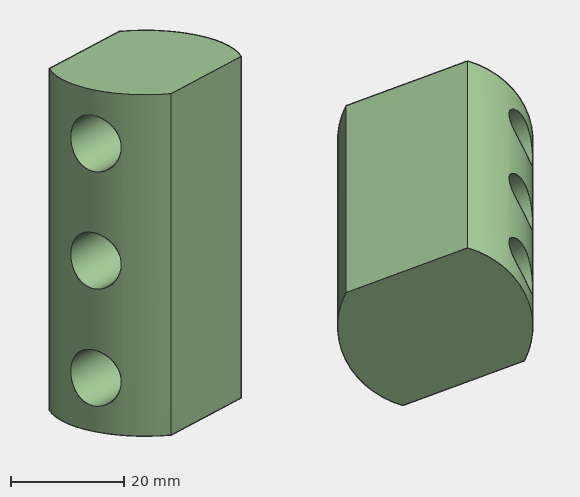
import cadquery as cq

height = 64.0
body_diameter = 34.55
width_across_flats = 25.4

hole_diameter = 10.5
hole_spacing = 21.95
hole_count = 3


def flatted_cylinder():
    """Upright cylinder cut by two flats parallel to the YZ plane."""
    cylinder = cq.Workplane("XY").circle(body_diameter / 2).extrude(height)
    slab = cq.Workplane("XY").rect(width_across_flats, body_diameter).extrude(height)
    return cylinder.intersect(slab)


def cross_holes():
    """Row of through-hole cutters along Y, stacked in Z."""
    return (
        cq.Workplane("XZ", origin=(0, 0, height / 2))
        .rarray(0.65, hole_spacing, 1, hole_count)
        .circle(hole_diameter / 2)
        .extrude(body_diameter, both=True)
    )


result = flatted_cylinder().cut(cross_holes())